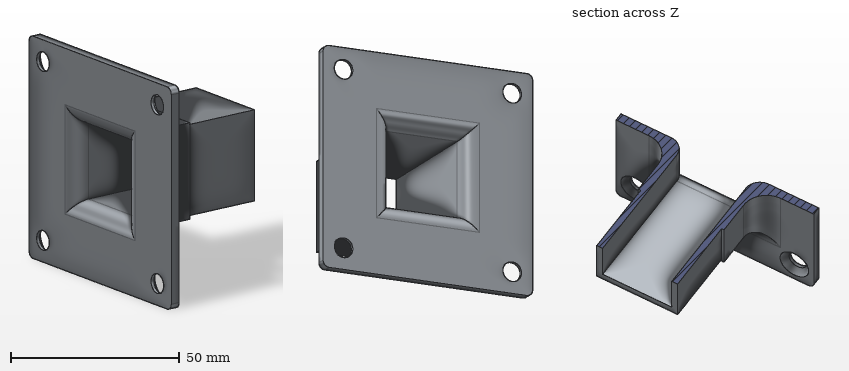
import cadquery as cq

plate_side = 69.0
plate_thickness = 3.0
plate_corner = 2.0
total_depth = 47.0
collar_side = 29.95
collar_end = 22.1
tube_side = 28.3
bore_side = 24.0
outer_flare_radius = 8.0
mouth_radius = 5.0
hole_diameter = 6.1
hole_spacing = 55.5
hole_straight_depth = 1.05


def square_bar(side, start, end):
    """Square bar centred on the Y axis, between y = start and y = end."""
    return cq.Workplane("XY").box(side, end - start, side).translate((0, (start + end) / 2, 0))


def flared_square(throat_side, radius, y_wide, y_throat):
    """Square trumpet with mitred corners, narrowing along an arc to throat_side.

    The arc is tangent to the face at y_wide and to the straight walls at y_throat.
    It is the overlap of two prisms with the same profile, one along Z and one along X.
    """
    throat = throat_side / 2
    wide = throat + radius
    arc_offset = radius * (1 - 0.5 ** 0.5)
    y_mid = y_wide + arc_offset
    x_mid = throat + arc_offset
    prism = (
        cq.Workplane("XY")
        .moveTo(-wide, y_wide)
        .lineTo(wide, y_wide)
        .threePointArc((x_mid, y_mid), (throat, y_throat))
        .lineTo(-throat, y_throat)
        .threePointArc((-x_mid, y_mid), (-wide, y_wide))
        .close()
        .extrude(wide, both=True)
    )
    return prism.intersect(prism.rotate((0, 0, 0), (0, 1, 0), 90))


plate = square_bar(plate_side, 0, plate_thickness).edges("|Y").fillet(plate_corner)

flare_end = plate_thickness + outer_flare_radius
flare = flared_square(collar_side, outer_flare_radius, plate_thickness, flare_end)
collar = square_bar(collar_side, 0, collar_end)
tube = square_bar(tube_side, 0, total_depth)
body = plate.union(flare).union(collar).union(tube)

bore = square_bar(bore_side, 0, total_depth)
mouth = flared_square(bore_side, mouth_radius, 0, mouth_radius)
body = body.cut(bore).cut(mouth)

hole_radius = hole_diameter / 2
countersink_radius = hole_radius + plate_thickness - hole_straight_depth
hole_profile = (
    cq.Workplane("XY")
    .polyline([
        (0, 0),
        (hole_radius, 0),
        (hole_radius, hole_straight_depth),
        (countersink_radius, plate_thickness),
        (0, plate_thickness),
    ])
    .close()
)
hole = hole_profile.revolve(360, (0, 0, 0), (0, 1, 0))
for x in (-hole_spacing / 2, hole_spacing / 2):
    for z in (-hole_spacing / 2, hole_spacing / 2):
        body = body.cut(hole.translate((x, 0, z)))

result = body